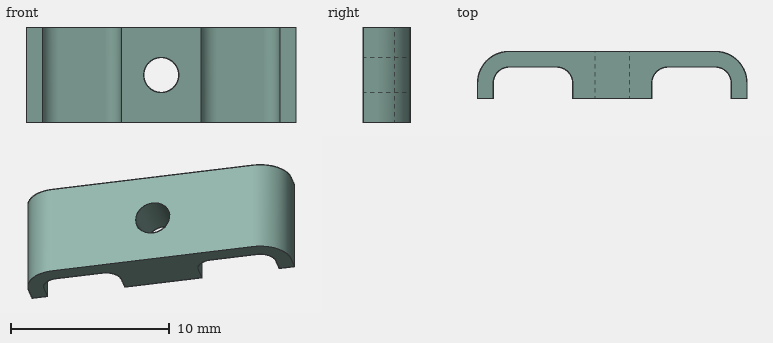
import cadquery as cq

length = 17.0
depth = 3.0
height = 6.0

wall = 1.0
block_width = 5.0
inner_radius = 1.0
outer_radius = inner_radius + wall
hole_diameter = 2.2

channel_width = (length - block_width) / 2 - wall
channel_depth = depth - wall
channel_offset = (block_width + channel_width) / 2


def make_body():
    """Bar with its two rear vertical edges rounded."""
    bar = cq.Workplane("XY").box(length, depth, height)
    return bar.edges("|Z and >Y").fillet(outer_radius)


def make_channel(center_x):
    """Vertical channel, open at the front (-Y), with rounded rear corners."""
    center_y = (channel_depth - depth) / 2
    channel = cq.Workplane("XY").box(channel_width, channel_depth, height)
    return channel.edges("|Z and >Y").fillet(inner_radius).translate((center_x, center_y, 0))


def make_screw_hole():
    """Cylinder through the central block along Y."""
    return cq.Workplane("XZ").circle(hole_diameter / 2).extrude(depth / 2, both=True)


result = make_body()
for side in (-1, 1):
    result = result.cut(make_channel(side * channel_offset))
result = result.cut(make_screw_hole())